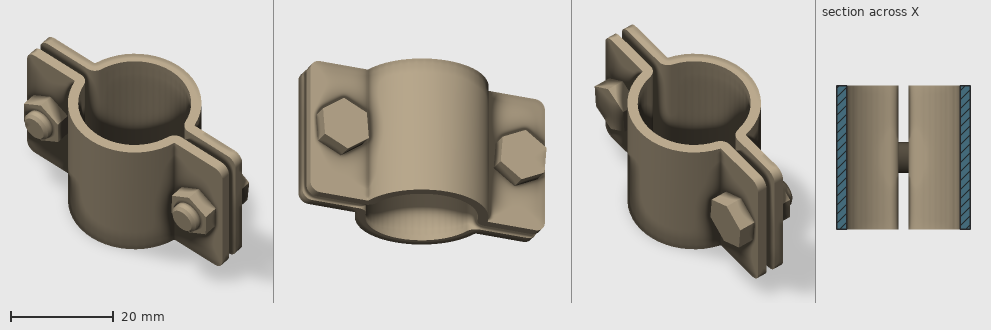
import cadquery as cq
import math


clamp_height = 28.0
sheet = 2.0
outer_radius = 13.0
inner_radius = outer_radius - sheet
flange_gap = 2.0
flange_flat = 12.0
bend_outer_radius = 0.2
bend_inner_radius = bend_outer_radius + sheet
corner_radius = 2.0

flange_inner_y = flange_gap / 2
flange_outer_y = flange_inner_y + sheet

bend_center_y = flange_outer_y + bend_outer_radius
bend_center_distance = outer_radius + bend_outer_radius
bend_center_x = math.sqrt(bend_center_distance**2 - bend_center_y**2)
flange_end_x = bend_center_x + flange_flat

bolt_edge_distance = 6.0
bolt_x = flange_end_x - bolt_edge_distance
bolt_radius = 3.0
bolt_tip_chamfer = 0.6
bolt_tip_overhang = 2.0
head_height = 3.5
head_across_corners = 10.74
head_turn = 4.6
nut_height = 3.0
nut_across_corners = 10.0
nut_turn = 0.4
hexagon_upright_turn = 30.0

head_top_y = flange_outer_y + head_height
nut_end_y = -flange_outer_y - nut_height
bolt_tip_y = nut_end_y - bolt_tip_overhang


def make_shell():
    """Half shell on the +Y side: a half ring bent outward into two flat flanges."""
    outer_fraction = outer_radius / bend_center_distance
    outer_end_x = bend_center_x * outer_fraction
    outer_end_y = bend_center_y * outer_fraction
    bore_fraction = inner_radius / bend_center_distance
    bore_end_x = bend_center_x * bore_fraction
    bore_end_y = bend_center_y * bore_fraction

    shell = (
        cq.Workplane("XY")
        .workplane(offset=-clamp_height / 2)
        .moveTo(-flange_end_x, flange_outer_y)
        .lineTo(-bend_center_x, flange_outer_y)
        .radiusArc((-outer_end_x, outer_end_y), -bend_outer_radius)
        .threePointArc((0, outer_radius), (outer_end_x, outer_end_y))
        .radiusArc((bend_center_x, flange_outer_y), -bend_outer_radius)
        .lineTo(flange_end_x, flange_outer_y)
        .lineTo(flange_end_x, flange_inner_y)
        .lineTo(bend_center_x, flange_inner_y)
        .radiusArc((bore_end_x, bore_end_y), bend_inner_radius)
        .threePointArc((0, inner_radius), (-bore_end_x, bore_end_y))
        .radiusArc((-bend_center_x, flange_inner_y), bend_inner_radius)
        .lineTo(-flange_end_x, flange_inner_y)
        .close()
        .extrude(clamp_height)
    )
    return shell.edges("|Y and (<X or >X)").edges("<Z or >Z").fillet(corner_radius)


def make_hexagon(across_corners, turn, start_y, height):
    """Hexagonal prism around the Y axis, growing toward -Y from start_y."""
    return (
        cq.Workplane("XZ", origin=(0, start_y, 0))
        .transformed(rotate=(0, 0, hexagon_upright_turn + turn))
        .polygon(6, across_corners)
        .extrude(height)
    )


def make_fastener():
    """Bolt with its nut for the -X flange pair; the head sits on the +Y side."""
    shank = (
        cq.Workplane("XZ", origin=(0, head_top_y, 0))
        .circle(bolt_radius)
        .extrude(head_top_y - bolt_tip_y)
        .faces("<Y")
        .chamfer(bolt_tip_chamfer)
    )
    head = make_hexagon(head_across_corners, head_turn, head_top_y, head_height)
    nut = make_hexagon(nut_across_corners, nut_turn, -flange_outer_y, nut_height)
    return shank.union(head).union(nut).translate((-bolt_x, 0, 0))


shell = make_shell()
fastener = make_fastener()

result = (
    shell
    .union(shell.mirror("XZ"))
    .union(fastener)
    .union(fastener.mirror("YZ"))
)